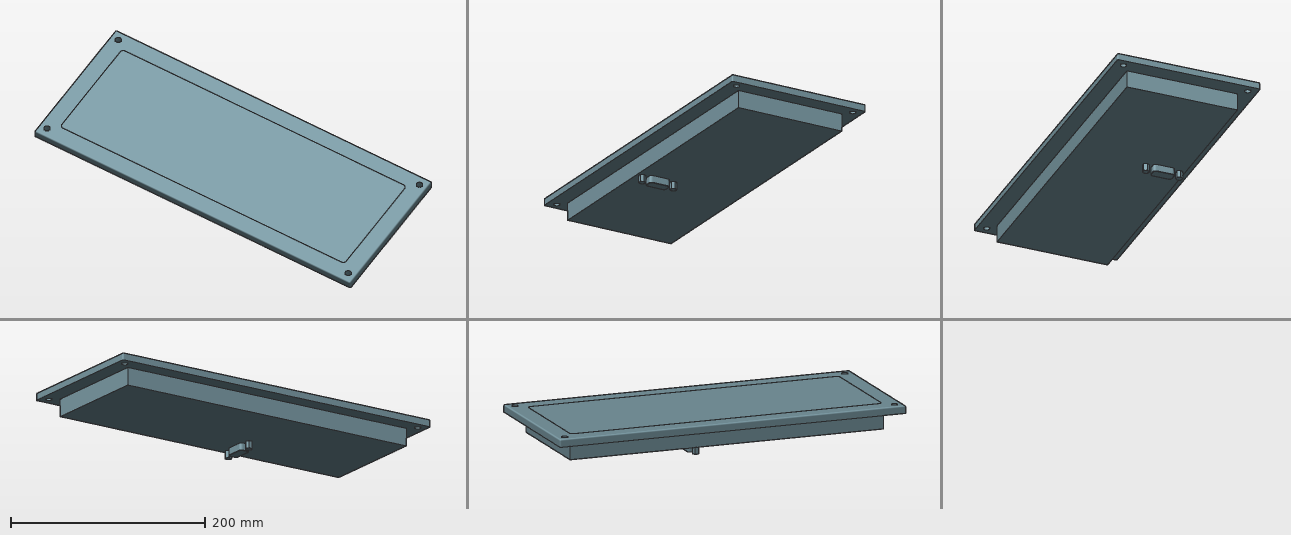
import cadquery as cq
import math

PANEL_LENGTH = 383.5
PANEL_WIDTH = 159.0
TOTAL_HEIGHT = 35.3

PANEL_THICKNESS = 8.0
PANEL_EDGE_RADIUS = 1.5

MOUNT_HOLE_DIAMETER = 6.5
MOUNT_HOLE_SPACING_X = 365.5
MOUNT_HOLE_SPACING_Y = 138.8

WINDOW_LENGTH = 345.0
WINDOW_WIDTH = 121.0
WINDOW_CORNER_RADIUS = 4.0
WINDOW_DEPTH = 0.08

BOX_LENGTH = 347.5
BOX_WIDTH = 123.5
BOX_HEIGHT = 19.0

CONNECTOR_X = 32.2
CONNECTOR_Y = 37.0
CONNECTOR_HEIGHT = TOTAL_HEIGHT - PANEL_THICKNESS - BOX_HEIGHT
SHELL_SIZE_X = 11.0
SHELL_SIZE_Y = 23.8
SHELL_CORNER_RADIUS = 3.0
SHELL_END_CHAMFER = 0.5
STANDOFF_ACROSS_FLATS = 6.5
HEXAGON_SIDES = 6
STANDOFF_ACROSS_CORNERS = STANDOFF_ACROSS_FLATS / math.cos(math.pi / HEXAGON_SIDES)
STANDOFF_BEVEL = (STANDOFF_ACROSS_CORNERS - STANDOFF_ACROSS_FLATS) / 2
STANDOFF_SPACING = 37.0

PANEL_TOP = TOTAL_HEIGHT / 2
PANEL_BOTTOM = PANEL_TOP - PANEL_THICKNESS
BOX_BOTTOM = PANEL_BOTTOM - BOX_HEIGHT


def block(length, width, top, height):
    """A centred rectangular block reaching down from the height `top`."""
    return cq.Workplane("XY", origin=(0, 0, top)).rect(length, width).extrude(-height)


def make_housing():
    """The panel and the box behind it, as one solid."""
    panel = block(PANEL_LENGTH, PANEL_WIDTH, PANEL_TOP, PANEL_THICKNESS)
    panel = panel.edges("|Z").fillet(PANEL_EDGE_RADIUS)
    panel = panel.faces(">Z").edges().fillet(PANEL_EDGE_RADIUS)

    holes = (
        cq.Workplane("XY", origin=(0, 0, PANEL_TOP))
        .rect(MOUNT_HOLE_SPACING_X, MOUNT_HOLE_SPACING_Y, forConstruction=True)
        .vertices()
        .circle(MOUNT_HOLE_DIAMETER / 2)
        .extrude(-PANEL_THICKNESS)
    )
    window = block(WINDOW_LENGTH, WINDOW_WIDTH, PANEL_TOP, WINDOW_DEPTH)
    window = window.edges("|Z").fillet(WINDOW_CORNER_RADIUS)
    box = block(BOX_LENGTH, BOX_WIDTH, PANEL_BOTTOM, BOX_HEIGHT)
    return panel.cut(holes).cut(window).union(box)


def make_connector_shell():
    """The rounded connector shell hanging from the underside of the box."""
    shell = block(SHELL_SIZE_X, SHELL_SIZE_Y, BOX_BOTTOM, CONNECTOR_HEIGHT)
    shell = shell.edges("|Z").fillet(SHELL_CORNER_RADIUS)
    shell = shell.faces("<Z").edges().chamfer(SHELL_END_CHAMFER)
    return shell.translate((CONNECTOR_X, CONNECTOR_Y, 0))


def make_standoff(y):
    """A hexagonal standoff at the given Y, with two of its corners pointing along X."""
    base = cq.Workplane("XY", origin=(CONNECTOR_X, y, BOX_BOTTOM))
    prism = base.polygon(HEXAGON_SIDES, STANDOFF_ACROSS_CORNERS).extrude(-CONNECTOR_HEIGHT)
    rod = base.circle(STANDOFF_ACROSS_CORNERS / 2).extrude(-CONNECTOR_HEIGHT)
    bevelled_rod = rod.faces("<Z").edges().chamfer(STANDOFF_BEVEL)
    return prism.intersect(bevelled_rod)


housing = make_housing()
connector_shell = make_connector_shell()
standoffs = []
for side in (-1, 1):
    standoffs.append(make_standoff(CONNECTOR_Y + side * STANDOFF_SPACING / 2).val())

result = cq.Compound.makeCompound([housing.val(), connector_shell.val(), *standoffs])